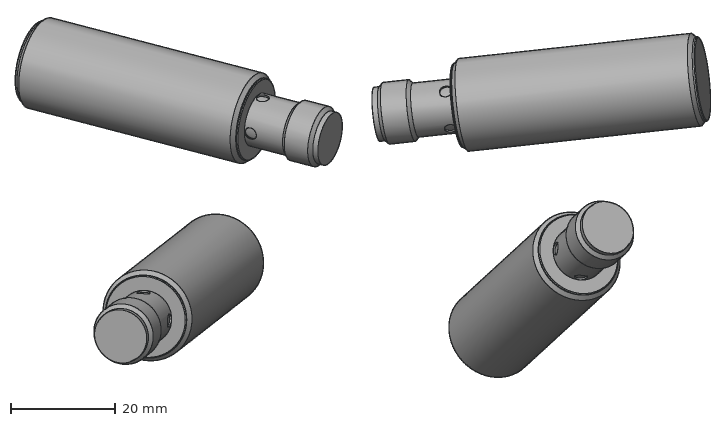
import cadquery as cq

total_length = 63.8

barrel_diameter = 18.0
disc_diameter = 16.4
face_disc_thickness = 0.5
disc_chamfer = 0.2
rear_disc_thickness = 0.4
rear_face_x = 48.0
barrel_chamfer = (barrel_diameter - disc_diameter) / 2
barrel_length = rear_face_x - face_disc_thickness - rear_disc_thickness

neck_diameter = 10.5
collar_diameter = 12.0
collar_start_x = 56.2
collar_end_x = 62.7
collar_chamfer = (collar_diameter - neck_diameter) / 2

light_diameter = 2.5
light_span = 9.8
light_x = 49.3


def rod(start_x, length, diameter):
    """Solid cylinder along X, centred on the sensor axis."""
    return cq.Workplane("YZ", origin=(start_x, 0, 0)).circle(diameter / 2).extrude(length)


def make_barrel():
    barrel = rod(face_disc_thickness, barrel_length, barrel_diameter)
    return barrel.faces("<X or >X").chamfer(barrel_chamfer)


def make_face_cap():
    cap = rod(0, face_disc_thickness, disc_diameter)
    return cap.faces("<X").chamfer(disc_chamfer)


def crossed_rods(length):
    """Two rods crossing on the sensor axis, long enough to pass through the given diameter."""
    rod_profile = cq.Workplane("XY").center(light_x, 0).circle(light_diameter / 2)
    vertical_rod = rod_profile.extrude(length / 2, both=True)
    cross_rod = vertical_rod.rotate((0, 0, 0), (1, 0, 0), 90)
    return vertical_rod.union(cross_rod)


def make_indicator_light():
    end_envelope = rod(rear_face_x, collar_start_x - rear_face_x, light_span)
    return crossed_rods(neck_diameter).intersect(end_envelope)


def make_connector():
    flange = rod(rear_face_x - rear_disc_thickness, rear_disc_thickness, disc_diameter)
    flange = flange.faces(">X").chamfer(disc_chamfer)
    neck = rod(rear_face_x, total_length - rear_face_x, neck_diameter)
    collar = rod(collar_start_x, collar_end_x - collar_start_x, collar_diameter)
    collar = collar.faces("<X or >X").chamfer(collar_chamfer)
    return flange.union(neck).union(collar).cut(crossed_rods(neck_diameter))


barrel = make_barrel()
face_cap = make_face_cap()
indicator_light = make_indicator_light()
connector = make_connector()

result = cq.Compound.makeCompound([
    barrel.solids().val(),
    face_cap.solids().val(),
    connector.solids().val(),
    indicator_light.solids().val(),
])